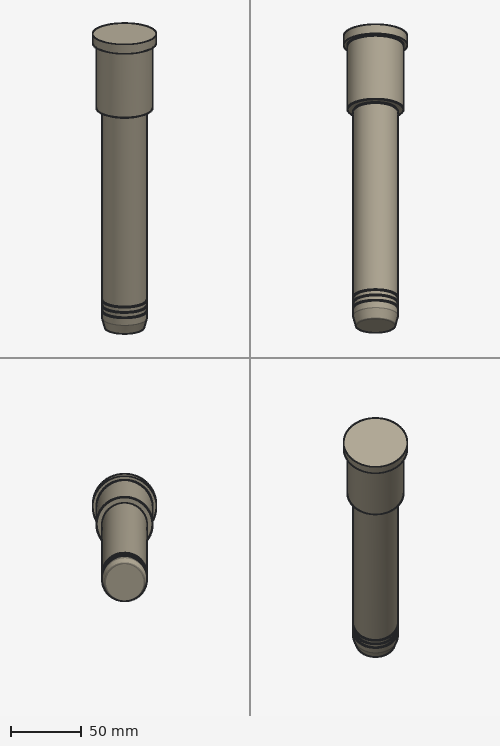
import cadquery as cq

total_length = 220.0
head_diameter = 45.0
collar_diameter = 40.0
shaft_diameter = 32.0

head_height = 7.0
collar_end_depth = 56.0
collar_edge_chamfer = 0.5

relief_depth = 0.5
neck_width = 1.5
neck_depth = 1.0
neck_slope_height = 0.5

oil_groove_count = 3
oil_groove_pitch = 4.0
oil_groove_depth = 0.5
lowest_oil_groove_height = 13.0

nose_height = 7.5
nose_end_diameter = 28.0
nose_edge_radius = 0.5

head_bottom = total_length - head_height
collar_bottom = total_length - collar_end_depth


def cylinder(diameter, bottom, top):
    """Solid cylinder on the Z axis between two heights."""
    return cq.Workplane("XY").workplane(offset=bottom).circle(diameter / 2).extrude(top - bottom)


def make_neck():
    """Ring to remove from the shaft below the collar, with a sloped lower wall."""
    shaft_radius = shaft_diameter / 2
    neck_radius = shaft_radius - neck_depth
    neck_bottom = collar_bottom - neck_width
    section = [
        (neck_radius, collar_bottom),
        (neck_radius, neck_bottom + neck_slope_height),
        (shaft_radius, neck_bottom),
        (shaft_radius, collar_bottom),
    ]
    return cq.Workplane("XZ").polyline(section).close().revolve(360, (0, 0, 0), (0, 1, 0))


def v_groove(diameter, depth, height):
    """Ring with a 90 degree V section to remove from a cylinder, centred at the given height."""
    radius = diameter / 2
    section = [
        (radius, height - depth),
        (radius - depth, height),
        (radius, height + depth),
    ]
    return cq.Workplane("XZ").polyline(section).close().revolve(360, (0, 0, 0), (0, 1, 0))


def make_nose():
    """Tapered end with a rounded tip edge."""
    nose = cq.Workplane("XY").circle(nose_end_diameter / 2)
    nose = nose.workplane(offset=nose_height).circle(shaft_diameter / 2).loft(ruled=True)
    return nose.faces("<Z").edges().fillet(nose_edge_radius)


def make_shaft():
    """Straight shaft with a neck below the collar and oil grooves near the nose."""
    shaft = cylinder(shaft_diameter, nose_height, collar_bottom)
    shaft = shaft.cut(make_neck())
    for index in range(oil_groove_count):
        height = lowest_oil_groove_height + index * oil_groove_pitch
        shaft = shaft.cut(v_groove(shaft_diameter, oil_groove_depth, height))
    return shaft


def make_collar():
    """Locating collar with a chamfered lower edge and a relief below the head."""
    collar = cylinder(collar_diameter, collar_bottom, head_bottom)
    collar = collar.faces("<Z").chamfer(collar_edge_chamfer)
    return collar.cut(v_groove(collar_diameter, relief_depth, head_bottom - relief_depth))


head = cylinder(head_diameter, head_bottom, total_length)
result = make_nose().union(make_shaft()).union(make_collar()).union(head)